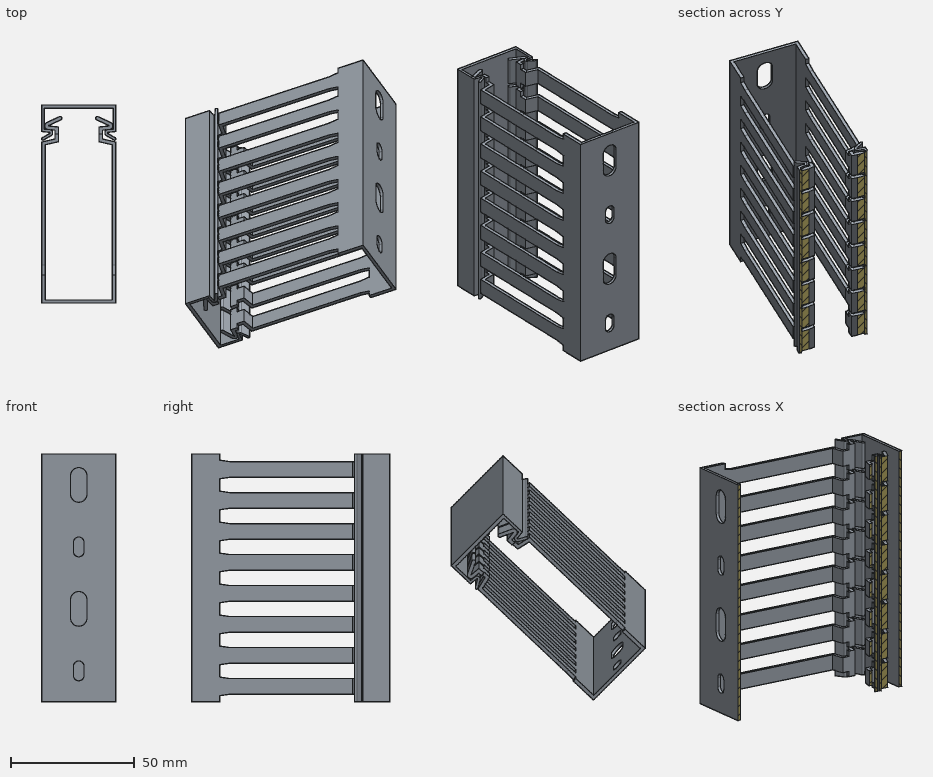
import cadquery as cq
import math

WIDTH = 30.0
DEPTH = 80.0
LENGTH = 100.0

DUCT_WALL = 1.5
BASE_THICKNESS = 1.3
SHOULDER_DROP = 15.0
SHOULDER_ANGLE = 13.0
NECK_INSET = 5.4
HOOK_INSET = 2.7
HOOK_DROP = 8.5
HOOK_ARM_ANGLE = 6.0
TONGUE_ANGLE = 25.0
TONGUE_LENGTH = 5.6

FINGER_COUNT = 8
FINGER_PITCH = LENGTH / FINGER_COUNT
FINGER_WIDTH = 6.4
FINGER_ROOT_WIDTH = 7.6
HEAD_WIDTH = 10.9
ROOT_Y = 11.4
TAPER_END_Y = 15.4
HEAD_START_Y = 68.2

LARGE_SLOT_LENGTH = 14.0
LARGE_SLOT_WIDTH = 6.6
SMALL_SLOT_LENGTH = 8.0
SMALL_SLOT_WIDTH = 4.3
SLOT_PITCH = LENGTH / 4

COVER_WALL = 1.1
COVER_TOP = 1.5
LIP_INSET = 4.5
LIP_BEND_HEIGHT = 0.3
LIP_LEG_ANGLE = 30.0


def at(inset, drop):
    """XY point given by its distance in from the left side and down from the cover's outer face."""
    return (inset - WIDTH / 2, DEPTH - drop)


def along(point, angle, distance):
    """Point reached by moving from a point in a direction given in degrees."""
    turn = math.radians(angle)
    return (point[0] + distance * math.cos(turn), point[1] + distance * math.sin(turn))


def slope(run, angle):
    """Height change over a horizontal run at a slope in degrees."""
    return run * math.tan(math.radians(angle))


def both_sides(half):
    """Join a left half with its mirror image."""
    return half.union(half.mirror("YZ")).clean()


ARM_UNDERSIDE_DROP_AT_SIDE = (
    HOOK_DROP + DUCT_WALL / math.cos(math.radians(HOOK_ARM_ANGLE)) - slope(HOOK_INSET, HOOK_ARM_ANGLE)
)


def arm_underside(inset):
    """Point on the line of the hook arm's underside."""
    return at(inset, ARM_UNDERSIDE_DROP_AT_SIDE + slope(inset, HOOK_ARM_ANGLE))


def duct_profile():
    """Solid of the duct section over the full length, before the fingers are separated."""
    neck_inner = NECK_INSET + DUCT_WALL
    shoulder_thickness = DUCT_WALL / math.cos(math.radians(SHOULDER_ANGLE))

    def shoulder(inset):
        return SHOULDER_DROP - slope(inset, SHOULDER_ANGLE)

    hook_corner = at(HOOK_INSET, HOOK_DROP)
    hook_start = along(hook_corner, -90 - HOOK_ARM_ANGLE, DUCT_WALL)
    hook_middle = along(hook_corner, 180, DUCT_WALL)
    hook_end = along(hook_corner, 90 + TONGUE_ANGLE, DUCT_WALL)
    tongue_outer = along(hook_end, TONGUE_ANGLE, TONGUE_LENGTH)
    tongue_inner = along(hook_corner, TONGUE_ANGLE, TONGUE_LENGTH)
    tongue_center = along(tongue_inner, 90 + TONGUE_ANGLE, DUCT_WALL / 2)
    tongue_tip = along(tongue_center, TONGUE_ANGLE, DUCT_WALL / 2)

    half = (
        cq.Workplane("XY")
        .moveTo(0, 0)
        .lineTo(-WIDTH / 2, 0)
        .lineTo(*at(0, SHOULDER_DROP))
        .lineTo(*at(NECK_INSET, shoulder(NECK_INSET)))
        .lineTo(*arm_underside(NECK_INSET))
        .lineTo(*hook_start)
        .threePointArc(hook_middle, hook_end)
        .lineTo(*tongue_outer)
        .threePointArc(tongue_tip, tongue_inner)
        .lineTo(*hook_corner)
        .lineTo(*at(neck_inner, HOOK_DROP + slope(neck_inner - HOOK_INSET, HOOK_ARM_ANGLE)))
        .lineTo(*at(neck_inner, shoulder(neck_inner) + shoulder_thickness))
        .lineTo(*at(DUCT_WALL, shoulder(DUCT_WALL) + shoulder_thickness))
        .lineTo(DUCT_WALL - WIDTH / 2, BASE_THICKNESS)
        .lineTo(0, BASE_THICKNESS)
        .close()
        .extrude(LENGTH)
    )
    return both_sides(half)


def finger_envelope(center_z):
    """Prism across the duct with the side outline of one finger, from its root to its head."""
    half_outline = [
        (0, FINGER_ROOT_WIDTH / 2),
        (ROOT_Y, FINGER_ROOT_WIDTH / 2),
        (TAPER_END_Y, FINGER_WIDTH / 2),
        (HEAD_START_Y, FINGER_WIDTH / 2),
        (HEAD_START_Y, HEAD_WIDTH / 2),
        (DEPTH, HEAD_WIDTH / 2),
    ]
    upper = [(y, center_z + offset) for y, offset in half_outline]
    lower = [(y, center_z - offset) for y, offset in reversed(half_outline)]
    return cq.Workplane("YZ").polyline(upper + lower).close().extrude(WIDTH / 2, both=True)


def base_slot(center_z, length, width):
    """Cutter for one round-ended slot through the base, long along Z."""
    return (
        cq.Workplane("XZ")
        .center(0, center_z)
        .slot2D(length, width, 90)
        .extrude(BASE_THICKNESS, both=True)
    )


def make_duct():
    envelope = cq.Workplane("XY").box(WIDTH, ROOT_Y, LENGTH, centered=(True, False, False))
    for index in range(FINGER_COUNT):
        envelope = envelope.union(finger_envelope((index + 0.5) * FINGER_PITCH))
    duct = duct_profile().intersect(envelope)

    for small_slot_z in (SLOT_PITCH / 2, SLOT_PITCH / 2 + 2 * SLOT_PITCH):
        duct = duct.cut(base_slot(small_slot_z, SMALL_SLOT_LENGTH, SMALL_SLOT_WIDTH))
        duct = duct.cut(base_slot(small_slot_z + SLOT_PITCH, LARGE_SLOT_LENGTH, LARGE_SLOT_WIDTH))
    return duct


def make_cover():
    bend_inset = LIP_INSET - COVER_WALL
    lip_thickness = COVER_WALL / math.cos(math.radians(HOOK_ARM_ANGLE))
    leg_thickness = COVER_WALL / math.cos(math.radians(LIP_LEG_ANGLE))

    lip_drop_at_side = ARM_UNDERSIDE_DROP_AT_SIDE + lip_thickness
    bend_top_drop = lip_drop_at_side + slope(bend_inset, HOOK_ARM_ANGLE)
    leg_top_drop = bend_top_drop + LIP_BEND_HEIGHT

    tip_radius = COVER_WALL / 2
    tip_drop = leg_top_drop + slope(bend_inset - tip_radius, LIP_LEG_ANGLE) + leg_thickness / 2
    tip_center = at(tip_radius, tip_drop)
    tip_upper = along(tip_center, 90 + LIP_LEG_ANGLE, tip_radius)
    tip_end = along(tip_center, 180 + LIP_LEG_ANGLE, tip_radius)
    tip_lower = along(tip_center, LIP_LEG_ANGLE - 90, tip_radius)

    upper_corner = at(bend_inset, bend_top_drop)
    lower_corner = at(bend_inset, leg_top_drop)
    leg_normal = LIP_LEG_ANGLE - 90
    lip_normal = 90 - HOOK_ARM_ANGLE
    leg_start = along(lower_corner, leg_normal, COVER_WALL)
    lower_arc_middle = along(lower_corner, leg_normal / 2, COVER_WALL)
    lower_arc_end = along(lower_corner, 0, COVER_WALL)
    upper_arc_start = along(upper_corner, 0, COVER_WALL)
    upper_arc_middle = along(upper_corner, lip_normal / 2, COVER_WALL)
    lip_end = along(upper_corner, lip_normal, COVER_WALL)

    half = (
        cq.Workplane("XY")
        .moveTo(0, DEPTH)
        .lineTo(*at(0, 0))
        .lineTo(*at(0, lip_drop_at_side))
        .lineTo(*upper_corner)
        .lineTo(*lower_corner)
        .lineTo(*tip_upper)
        .threePointArc(tip_end, tip_lower)
        .lineTo(*leg_start)
        .threePointArc(lower_arc_middle, lower_arc_end)
        .lineTo(*upper_arc_start)
        .threePointArc(upper_arc_middle, lip_end)
        .lineTo(*arm_underside(COVER_WALL))
        .lineTo(*at(COVER_WALL, COVER_TOP))
        .lineTo(0, DEPTH - COVER_TOP)
        .close()
        .extrude(LENGTH)
    )
    return both_sides(half)


duct = make_duct()
cover = make_cover()

result = cq.Compound.makeCompound([duct.val(), cover.val()])